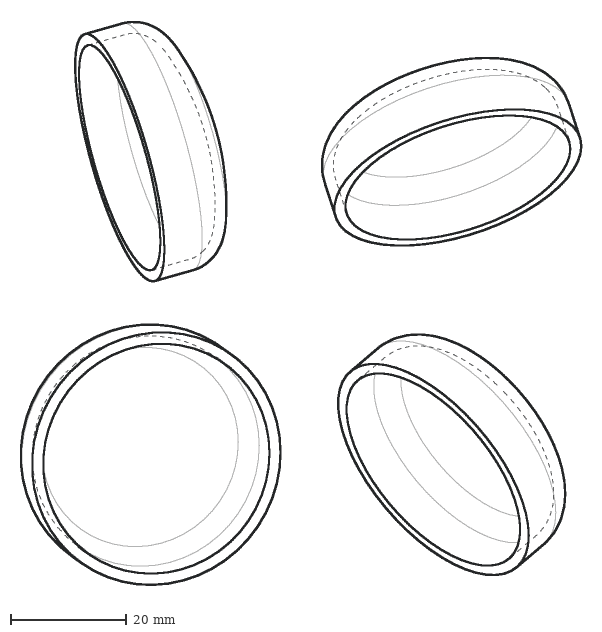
import cadquery as cq
import math

outer_diameter = 44.5
inner_diameter = 40.5
total_height = 16.6
skirt_height = 7.0
knuckle_radius = 6.4

outer_radius = outer_diameter / 2
wall = (outer_diameter - inner_diameter) / 2
dome_rise = total_height - skirt_height

knuckle_center = outer_radius - knuckle_radius

rise_above_knuckle = dome_rise - knuckle_radius
crown_radius = (knuckle_center**2 + dome_rise**2 - knuckle_radius**2) / (2 * rise_above_knuckle)
crown_center = total_height - crown_radius

crown_angle = math.asin(knuckle_center / (crown_radius - knuckle_radius))


def on_crown(offset, angle):
    """Point (radius, height) on the crown, moved inward by offset."""
    radius = crown_radius - offset
    return radius * math.sin(angle), crown_center + radius * math.cos(angle)


def on_knuckle(offset, angle):
    """Point (radius, height) on the knuckle, moved inward by offset."""
    radius = knuckle_radius - offset
    return knuckle_center + radius * math.sin(angle), skirt_height + radius * math.cos(angle)


def dome_solid(offset):
    """Solid bounded by the outer face moved inward by offset, down to the rim."""
    middle_of_knuckle = (crown_angle + math.pi / 2) / 2
    half_profile = (
        cq.Workplane("XY")
        .moveTo(0, 0)
        .lineTo(outer_radius - offset, 0)
        .lineTo(outer_radius - offset, skirt_height)
        .threePointArc(on_knuckle(offset, middle_of_knuckle), on_crown(offset, crown_angle))
        .threePointArc(on_crown(offset, crown_angle / 2), on_crown(offset, 0))
        .close()
    )
    return half_profile.revolve(360, (0, 0, 0), (0, 1, 0))


result = dome_solid(0).cut(dome_solid(wall))